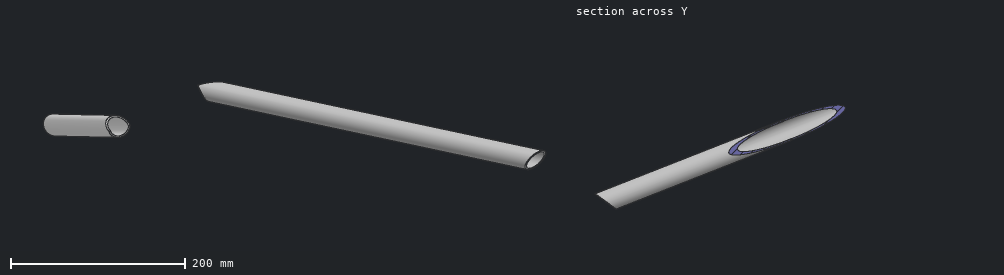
import cadquery as cq

OUTER_DIAMETER = 25.5
WALL = 2.0
AXIS_POINT = cq.Vector(0, 0, 1.5)
AXIS_DIRECTION = cq.Vector(1, -0.194, 0.393).normalized()
STOCK_LENGTH = 618.5

LOWER_CUT_POINT = (-209.0, 41.0, -81.0)
LOWER_CUT_NORMAL = (-13, 0.4, -18)
SADDLE_POINT = (203, -41.5, 85.2)
SADDLE_NORMAL = (0.08, -0.31, 1)
TIP_POINT = (212.5, -42.5, 71.5)
TIP_NORMAL = (1, -0.2, -0.34)
WASTE_SIZE = 265.0


def rod(diameter):
    """Solid cylinder along the tube axis."""
    start = AXIS_POINT - AXIS_DIRECTION * (STOCK_LENGTH / 2)
    plane = cq.Plane(origin=start.toTuple(), normal=AXIS_DIRECTION.toTuple())
    return cq.Workplane(plane).circle(diameter / 2).extrude(STOCK_LENGTH)


def waste_beyond(point, normal):
    """Block filling the space on the normal's side of a cutting plane."""
    plane = cq.Plane(origin=point, normal=normal)
    return cq.Workplane(plane).rect(WASTE_SIZE, WASTE_SIZE).extrude(WASTE_SIZE)


tube = rod(OUTER_DIAMETER).cut(rod(OUTER_DIAMETER - 2 * WALL))

tube = tube.cut(waste_beyond(LOWER_CUT_POINT, LOWER_CUT_NORMAL))

tube = tube.cut(waste_beyond(SADDLE_POINT, SADDLE_NORMAL))
result = tube.cut(waste_beyond(TIP_POINT, TIP_NORMAL))